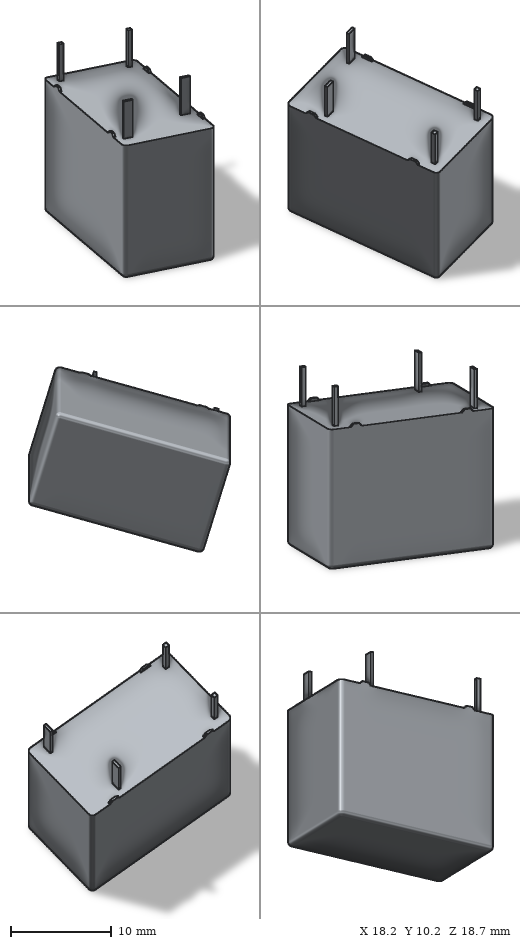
import cadquery as cq

case_length = 18.2
case_width = 10.2
case_height = 14.63
edge_radius = 0.5

overall_height = 18.7
pin_length = overall_height - case_height
grid_pitch = 2.54
row_offset = 1.5 * grid_pitch
coil_pin_x = -7.87
coil_pin_side = 0.45
contact_pin_thickness = 0.3
contact_pin_width = 1.0
rear_contact_x = coil_pin_x + 5 * grid_pitch
front_contact_x = coil_pin_x + 6 * grid_pitch

tab_offset_x = 6.12
tab_base_length = 1.25
tab_top_length = 0.65
tab_height = 0.3
tab_thickness = 0.25


def make_case():
    box = cq.Workplane("XY").box(case_length, case_width, case_height, centered=(True, True, False))
    return box.edges("|Z").fillet(edge_radius).faces("<Z").edges().fillet(edge_radius)


def make_pin(x, y, size_x, size_y):
    return (
        cq.Workplane("XY")
        .workplane(offset=case_height)
        .center(x, y)
        .rect(size_x, size_y)
        .extrude(pin_length)
    )


def make_tab(x, outer_sign):
    """Trapezoidal tab flush with the long side of the case given by outer_sign."""
    base_half = tab_base_length / 2
    top_half = tab_top_length / 2
    outer_y = outer_sign * case_width / 2
    return (
        cq.Workplane("XZ", origin=(x, outer_y, case_height))
        .moveTo(-base_half, 0)
        .lineTo(base_half, 0)
        .lineTo(top_half, tab_height)
        .lineTo(-top_half, tab_height)
        .close()
        .extrude(outer_sign * tab_thickness)
    )


result = make_case()

for row_y in (-row_offset, row_offset):
    result = result.union(make_pin(coil_pin_x, row_y, coil_pin_side, coil_pin_side))

for blade_x, row_y in ((front_contact_x, -row_offset), (rear_contact_x, row_offset)):
    result = result.union(make_pin(blade_x, row_y, contact_pin_thickness, contact_pin_width))

for tab_x in (-tab_offset_x, tab_offset_x):
    for side in (-1, 1):
        result = result.union(make_tab(tab_x, side))